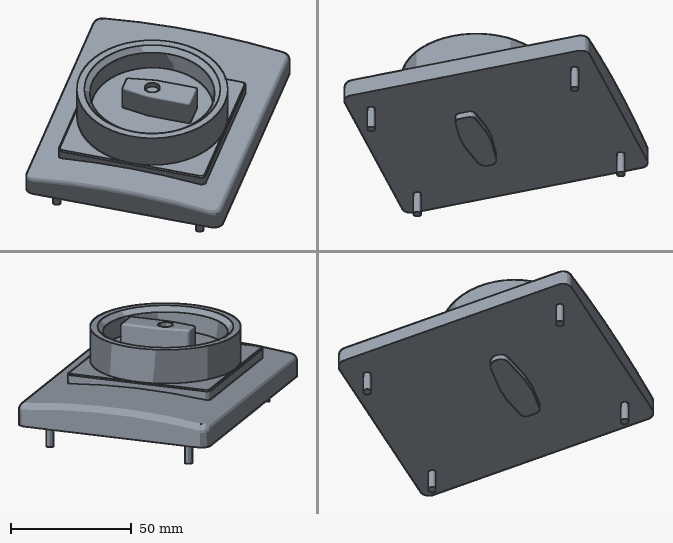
import cadquery as cq
import math

PLATE_WIDTH = 85.0
PLATE_LENGTH = 107.0
PLATE_CROWN_HEIGHT = 12.1
PLATE_CROWN_RADIUS = 299.6
PLATE_CORNER_RADIUS = 4.0
PLATE_TOP_FILLET = 3.0

SCREW_DIAMETER = 3.2
SCREW_LENGTH = 10.3
SCREW_SPACING_X = 61.7
SCREW_SPACING_Y = 88.8

SWITCH_Y = -8.6

FRAME_SIDE = 63.5
FRAME_TOP = 14.8
FRAME_CORNER_RADIUS = 2.0
FRAME_EDGE_CHAMFER = 0.5

DIAL_DIAMETER = 62.6
DIAL_TOP = 29.4
DIAL_FLOOR = 19.5
DIAL_RIM_DIAMETER = 56.4
DIAL_THROAT_DIAMETER = 51.8
DIAL_FLOOR_DIAMETER = 50.7
DIAL_BEVEL_DEPTH = 2.1

HANDLE_TOP = 30.3
HANDLE_POINTER_X = -12.1
HANDLE_TAIL_X = 18.0
HANDLE_WIDTH = 11.1
HANDLE_POINTER_WIDTH = 6.8
HANDLE_FILLET = 1.0
HANDLE_HOLE_DIAMETER = 6.2
HANDLE_HOLE_DEPTH = 2.1

COUPLER_THICKNESS = 2.9
COUPLER_WIDTH = 11.7
COUPLER_LEFT_X = -17.5
COUPLER_RIGHT_X = 16.8
COUPLER_MIDDLE_LEFT_X = -2.2
COUPLER_MIDDLE_RIGHT_X = 4.9
COUPLER_TAPER = 0.15
COUPLER_LEFT_RADIUS = 3.9
COUPLER_RIGHT_RADIUS = 2.6


def make_plate():
    half_width = PLATE_WIDTH / 2
    crown_drop = PLATE_CROWN_RADIUS - math.sqrt(PLATE_CROWN_RADIUS**2 - half_width**2)
    side_height = PLATE_CROWN_HEIGHT - crown_drop
    block = (
        cq.Workplane("XZ")
        .moveTo(-half_width, 0)
        .lineTo(half_width, 0)
        .lineTo(half_width, side_height)
        .threePointArc((0, PLATE_CROWN_HEIGHT), (-half_width, side_height))
        .close()
        .extrude(PLATE_LENGTH / 2, both=True)
    )
    rounded = block.edges("|Z").fillet(PLATE_CORNER_RADIUS)
    return rounded.faces(">Z").edges().fillet(PLATE_TOP_FILLET)


def make_screws():
    return [
        cq.Workplane("XY")
        .center(side_x * SCREW_SPACING_X / 2, side_y * SCREW_SPACING_Y / 2)
        .circle(SCREW_DIAMETER / 2)
        .extrude(-SCREW_LENGTH)
        for side_x in (-1, 1)
        for side_y in (-1, 1)
    ]


def make_frame(plate):
    block = (
        cq.Workplane("XY")
        .center(0, SWITCH_Y)
        .rect(FRAME_SIDE, FRAME_SIDE)
        .extrude(FRAME_TOP)
        .edges("|Z")
        .fillet(FRAME_CORNER_RADIUS)
        .faces(">Z")
        .chamfer(FRAME_EDGE_CHAMFER)
    )
    return block.cut(plate)


def make_dial():
    throat_height = DIAL_TOP - DIAL_BEVEL_DEPTH
    return (
        cq.Workplane("XZ", origin=(0, SWITCH_Y, 0))
        .polyline(
            [
                (0, FRAME_TOP),
                (DIAL_DIAMETER / 2, FRAME_TOP),
                (DIAL_DIAMETER / 2, DIAL_TOP),
                (DIAL_RIM_DIAMETER / 2, DIAL_TOP),
                (DIAL_THROAT_DIAMETER / 2, throat_height),
                (DIAL_FLOOR_DIAMETER / 2, DIAL_FLOOR),
                (0, DIAL_FLOOR),
            ]
        )
        .close()
        .revolve(360, (0, 0, 0), (0, 1, 0))
    )


def make_handle():
    bar = (
        cq.Workplane("XY", origin=(0, SWITCH_Y, DIAL_FLOOR))
        .polyline(
            [
                (HANDLE_POINTER_X, -HANDLE_POINTER_WIDTH / 2),
                (0, -HANDLE_WIDTH / 2),
                (HANDLE_TAIL_X, -HANDLE_WIDTH / 2),
                (HANDLE_TAIL_X, HANDLE_WIDTH / 2),
                (0, HANDLE_WIDTH / 2),
                (HANDLE_POINTER_X, HANDLE_POINTER_WIDTH / 2),
            ]
        )
        .close()
        .extrude(HANDLE_TOP - DIAL_FLOOR)
    )
    end_corners = bar.faces("<X or >X").edges("|Z")
    rounded = end_corners.fillet(HANDLE_FILLET).faces(">Z").edges().fillet(HANDLE_FILLET)
    hole = (
        cq.Workplane("XY", origin=(0, SWITCH_Y, HANDLE_TOP))
        .circle(HANDLE_HOLE_DIAMETER / 2)
        .extrude(-HANDLE_HOLE_DEPTH)
    )
    return rounded.cut(hole)


def make_coupler():
    half_width = COUPLER_WIDTH / 2
    left_half = half_width - COUPLER_TAPER * (COUPLER_MIDDLE_LEFT_X - COUPLER_LEFT_X)
    right_half = half_width - COUPLER_TAPER * (COUPLER_RIGHT_X - COUPLER_MIDDLE_RIGHT_X)
    bar = (
        cq.Workplane("XY", origin=(0, SWITCH_Y, 0))
        .polyline(
            [
                (COUPLER_LEFT_X, -left_half),
                (COUPLER_MIDDLE_LEFT_X, -half_width),
                (COUPLER_MIDDLE_RIGHT_X, -half_width),
                (COUPLER_RIGHT_X, -right_half),
                (COUPLER_RIGHT_X, right_half),
                (COUPLER_MIDDLE_RIGHT_X, half_width),
                (COUPLER_MIDDLE_LEFT_X, half_width),
                (COUPLER_LEFT_X, left_half),
            ]
        )
        .close()
        .extrude(-COUPLER_THICKNESS)
    )
    left_rounded = bar.faces("<X").edges("|Z").fillet(COUPLER_LEFT_RADIUS)
    return left_rounded.faces(">X").edges("|Z").fillet(COUPLER_RIGHT_RADIUS)


cover_plate = make_plate()
screws = make_screws()
frame = make_frame(cover_plate)
dial = make_dial()
handle = make_handle()
coupler = make_coupler()

result = cq.Compound.makeCompound(
    [
        cover_plate.solids().val(),
        *[screw.val() for screw in screws],
        frame.solids().val(),
        dial.solids().val(),
        handle.solids().val(),
        coupler.solids().val(),
    ]
)